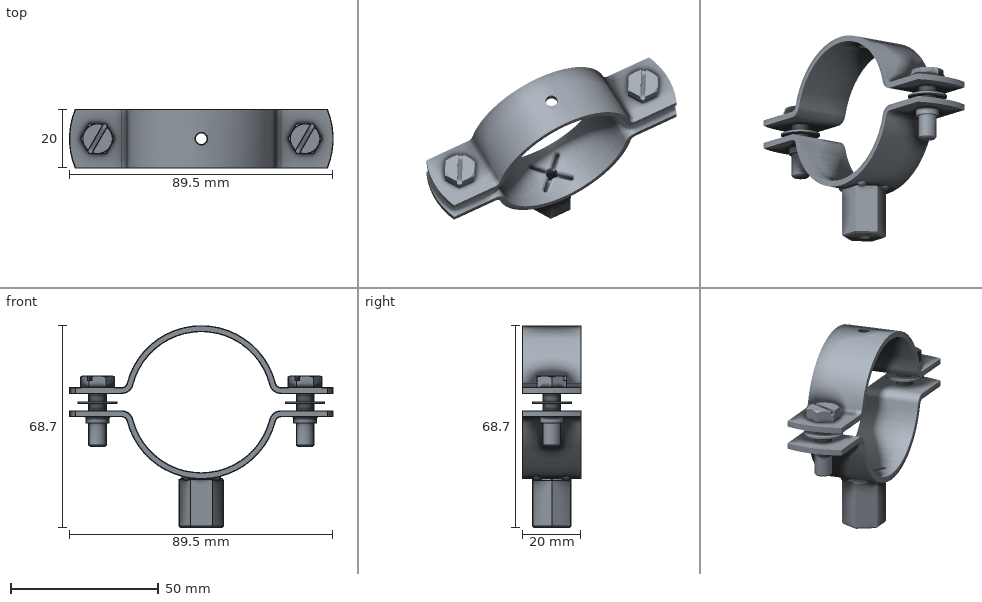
import cadquery as cq
import math

total_length = 89.5
strap_width = 20.0
strap_thickness = 2.0
ring_outer_radius = 26.0
flange_gap = 5.9
bend_radius = 2.0
end_sagitta = 2.0
top_hole_diameter = 4.0

screw_spacing = 70.5
shank_diameter = 6.0
screw_length = 20.0
screw_tip_chamfer = 0.5
head_across_flats = 10.0
head_height = 4.0
head_chamfer_angle = 30.0
slot_width = 1.6
slot_depth = 1.5
slot_angle = 60.0

washer_diameter = 13.25
washer_thickness = 0.5
washer_middle_z = -0.2

collar_diameter = 7.9
collar_height = 2.15
collar_root_fillet = 0.45

nut_across_flats = 13.0
nut_height = 16.65
nut_chamfer = 0.5
nut_top_inset = 0.4
nut_bore_diameter = 4.0

arm_length = 7.2
groove_radius = 0.5
bump_radius = 1.5
bump_depth = 0.6
cross_wall = 1.0

ring_inner_radius = ring_outer_radius - strap_thickness
flange_inner_z = flange_gap / 2
flange_outer_z = flange_inner_z + strap_thickness
bend_outer_radius = bend_radius + strap_thickness
bend_center_z = flange_outer_z + bend_radius
bend_center_x = math.sqrt((ring_outer_radius + bend_radius) ** 2 - bend_center_z**2)
bend_angle = math.atan2(bend_center_z, bend_center_x)
bump_bottom_z = -ring_outer_radius - bump_depth
shoulder_radius = bump_radius - groove_radius
shoulder_bottom_z = -ring_inner_radius - shoulder_radius
half_length = total_length / 2
half_width = strap_width / 2
screw_x = screw_spacing / 2


def hexagon(across_flats, height):
    """Hexagonal prism standing on Z = 0 with corners on the X axis."""
    return cq.Workplane("XY").polygon(6, across_flats / math.cos(math.pi / 6)).extrude(height)


def vertical_cylinder(diameter, bottom, top, x=0.0):
    return cq.Workplane("XY", origin=(x, 0, bottom)).circle(diameter / 2).extrude(top - bottom)


def plain_strap():
    """Upper half strap: half ring, two bends and two flanges with rounded ends."""

    def on_ring(radius, side):
        return (side * radius * math.cos(bend_angle), radius * math.sin(bend_angle))

    def on_bend(radius, side):
        """Middle of the bend arc of the given radius."""
        direction = (bend_angle + math.pi / 2) / 2
        return (
            side * (bend_center_x - radius * math.sin(math.pi / 2 - direction)),
            bend_center_z - radius * math.sin(direction),
        )

    profile = (
        cq.Workplane("XZ")
        .moveTo(-half_length, flange_inner_z)
        .lineTo(-bend_center_x, flange_inner_z)
        .threePointArc(on_bend(bend_outer_radius, -1), on_ring(ring_inner_radius, -1))
        .threePointArc((0, ring_inner_radius), on_ring(ring_inner_radius, 1))
        .threePointArc(on_bend(bend_outer_radius, 1), (bend_center_x, flange_inner_z))
        .lineTo(half_length, flange_inner_z)
        .lineTo(half_length, flange_outer_z)
        .lineTo(bend_center_x, flange_outer_z)
        .threePointArc(on_bend(bend_radius, 1), on_ring(ring_outer_radius, 1))
        .threePointArc((0, ring_outer_radius), on_ring(ring_outer_radius, -1))
        .threePointArc(on_bend(bend_radius, -1), (-bend_center_x, flange_outer_z))
        .lineTo(-half_length, flange_outer_z)
        .close()
        .extrude(half_width, both=True)
    )
    corner_x = half_length - end_sagitta
    outline = (
        cq.Workplane("XY")
        .moveTo(-corner_x, -half_width)
        .lineTo(corner_x, -half_width)
        .threePointArc((half_length, 0), (corner_x, half_width))
        .lineTo(-corner_x, half_width)
        .threePointArc((-half_length, 0), (-corner_x, -half_width))
        .close()
        .extrude(ring_outer_radius)
    )
    return profile.intersect(outline)


def cut_screw_holes(strap):
    for x in (-screw_x, screw_x):
        strap = strap.cut(vertical_cylinder(shank_diameter, -ring_outer_radius, ring_outer_radius, x))
    return strap


def both_arms(bar):
    """The bar along X, turned to the two diagonal directions and joined."""
    return bar.rotate((0, 0, 0), (0, 0, 1), 45).union(bar.rotate((0, 0, 0), (0, 0, 1), 135))


def straight_cross(radius, bottom, top):
    """Diagonal cross of upright slots with round ends."""
    slot = cq.Workplane("XY", origin=(0, 0, bottom)).slot2D(2 * (arm_length + radius), 2 * radius)
    return both_arms(slot.extrude(top - bottom))


def round_bottom_cross(radius, bottom, top):
    """Diagonal cross with a round underside, ball-shaped ends and upright walls above."""
    axis_z = bottom + radius
    rod = cq.Workplane("YZ", origin=(0, 0, axis_z)).circle(radius).extrude(arm_length, both=True)
    for end in (-arm_length, arm_length):
        rod = rod.union(cq.Workplane("XY", origin=(end, 0, axis_z)).sphere(radius))
    below_axis = vertical_cylinder(4 * arm_length, bottom, axis_z)
    return both_arms(rod).intersect(below_axis).union(straight_cross(radius, axis_z, top))


def collar(x):
    """Round boss under a lower flange, with a concave fillet at its root."""
    radius = collar_diameter / 2
    root = -flange_outer_z
    blend = collar_root_fillet * (1 - math.sqrt(0.5))
    return (
        cq.Workplane("XZ")
        .moveTo(0, root)
        .lineTo(radius + collar_root_fillet, root)
        .threePointArc((radius + blend, root - blend), (radius, root - collar_root_fillet))
        .lineTo(radius, root - collar_height)
        .lineTo(0, root - collar_height)
        .close()
        .revolve(360, (0, 0, 0), (0, 1, 0))
        .translate((x, 0, 0))
    )


def make_upper_strap():
    strap = cut_screw_holes(plain_strap())
    return strap.cut(vertical_cylinder(top_hole_diameter, 0, ring_outer_radius))


def cross_bump():
    """Underside of the pressed cross, which sinks into the top of the nut."""
    return round_bottom_cross(bump_radius, bump_bottom_z, shoulder_bottom_z)


def cut_rounded_cross(strap):
    """Cut the cross through the ring and round the rim on the inside of the ring."""
    strap = strap.cut(straight_cross(groove_radius, -ring_outer_radius, 0))
    reach = arm_length + groove_radius
    inner_rim = cq.selectors.BoxSelector((-reach, -reach, -ring_inner_radius), (reach, reach, 0))
    return strap.edges(inner_rim).fillet(shoulder_radius)


def press_cross(strap):
    """Pressed cross: groove with rounded shoulders in the ring, closed by a bump underneath."""
    groove = round_bottom_cross(groove_radius, bump_bottom_z + cross_wall, 0)
    hole = vertical_cylinder(nut_bore_diameter, bump_bottom_z, 0)
    return cut_rounded_cross(strap).union(cross_bump().cut(groove)).cut(hole)


def make_lower_strap():
    strap = press_cross(plain_strap().mirror("XY"))
    for x in (-screw_x, screw_x):
        strap = strap.union(collar(x))
    return cut_screw_holes(strap)


def make_screw(x):
    """Slotted hexagon screw whose head rests on the upper flange."""
    head = hexagon(head_across_flats, head_height)
    flat_radius = head_across_flats / 2
    corner_radius = flat_radius / math.cos(math.pi / 6)
    drop = (corner_radius - flat_radius) * math.tan(math.radians(head_chamfer_angle))
    chamfer_cone = (
        cq.Workplane("XZ")
        .moveTo(0, 0)
        .lineTo(corner_radius, 0)
        .lineTo(corner_radius, head_height - drop)
        .lineTo(flat_radius, head_height)
        .lineTo(0, head_height)
        .close()
        .revolve(360, (0, 0, 0), (0, 1, 0))
    )
    slot = (
        cq.Workplane("XY")
        .box(2 * head_across_flats, slot_width, 2 * slot_depth)
        .rotate((0, 0, 0), (0, 0, 1), slot_angle)
        .translate((0, 0, head_height))
    )
    shank = vertical_cylinder(shank_diameter, -screw_length, 0).faces("<Z").chamfer(screw_tip_chamfer)
    return head.intersect(chamfer_cone).cut(slot).union(shank).translate((x, 0, flange_outer_z))


def make_washer(x):
    bottom = washer_middle_z - washer_thickness / 2
    top = washer_middle_z + washer_thickness / 2
    disc = vertical_cylinder(washer_diameter, bottom, top, x)
    return disc.cut(vertical_cylinder(shank_diameter, bottom, top, x))


def make_nut():
    """Long hexagon nut under the ring, recessed for the pressed cross."""
    nut = hexagon(nut_across_flats, nut_height).faces("<Z").chamfer(nut_chamfer)
    nut = nut.faces(">Z").chamfer(nut_chamfer, nut_top_inset)
    nut = nut.cut(vertical_cylinder(nut_bore_diameter, 0, nut_height))
    return nut.translate((0, 0, -ring_outer_radius - nut_height)).cut(cross_bump())


upper_strap = make_upper_strap()
lower_strap = make_lower_strap()
nut = make_nut()
screws = [make_screw(x) for x in (-screw_x, screw_x)]
washers = [make_washer(x) for x in (-screw_x, screw_x)]

bodies = [upper_strap, lower_strap, nut, *screws, *washers]
result = cq.Compound.makeCompound([body.val() for body in bodies])